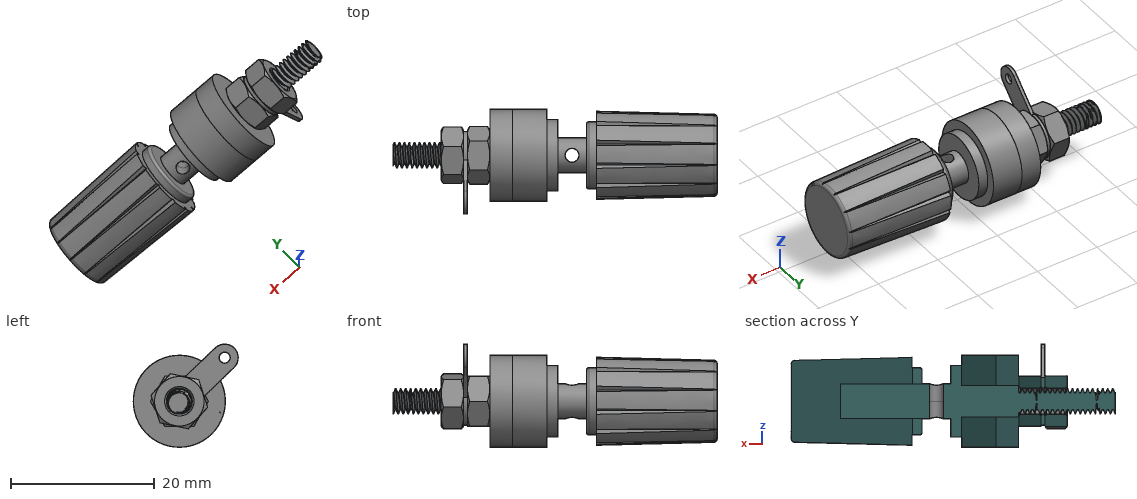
import cadquery as cq
import math


THREAD_DIA = 3.6
THREAD_ROOT_DIA = 2.38
THREAD_PITCH = 0.7
THREAD_CREST_WIDTH = 0.06
THREAD_BASE_WIDTH = 0.66
THREAD_EMBED = 0.1
THREAD_PHASE_X = 0.165
STUD_EXPOSED_LENGTH = 6.67

NUT_ACROSS_FLATS = 7.0
NUT_THICKNESS = 3.15
NUT_FACE_DIA = 6.9
NUT_CHAMFER_ANGLE = 30.0
NUT_COUNTERSINK_DIA = 4.1
OUTER_NUT_TURN = 11.9
INNER_NUT_TURN = 0.0

TAG_THICKNESS = 0.5
TAG_RING_DIA = 6.7
TAG_WIDTH = 3.8
TAG_HOLE_DIA = 1.5
TAG_HOLE_Y = -6.31
TAG_HOLE_Z = 6.07

INSULATOR_DIA = 12.85
REAR_INSULATOR_LENGTH = 3.15
FRONT_INSULATOR_LENGTH = 4.8

SHANK_DIA = 4.5
FLANGE_DIA = 10.0
FLANGE_LENGTH = 1.5
NECK_DIA = 4.9
NECK_EXPOSED_LENGTH = 3.97
NECK_DEPTH_IN_KNOB = 10.0
WIRE_HOLE_DIA = 1.9

COLLAR_DIA = 9.4
COLLAR_LENGTH = 1.4
COLLAR_FILLET = 0.4

TOTAL_LENGTH = 45.14
KNOB_START_DIA = 12.3
KNOB_END_DIA = 11.45
KNOB_FILLET = 0.5
GROOVE_COUNT = 12
GROOVE_TURN = 16.4
GROOVE_WIDTH = 0.8
GROOVE_FLOOR_RADIUS = 5.62
GROOVE_CUTTER_OVERSHOOT = 0.5

outer_nut_x = STUD_EXPOSED_LENGTH
tag_x = outer_nut_x + NUT_THICKNESS
inner_nut_x = tag_x + TAG_THICKNESS
rear_insulator_x = inner_nut_x + NUT_THICKNESS
front_insulator_x = rear_insulator_x + REAR_INSULATOR_LENGTH
flange_x = front_insulator_x + FRONT_INSULATOR_LENGTH
neck_x = flange_x + FLANGE_LENGTH
collar_x = neck_x + NECK_EXPOSED_LENGTH
knob_x = collar_x + COLLAR_LENGTH
neck_end_x = knob_x + NECK_DEPTH_IN_KNOB


def section(x):
    """Workplane across the axis at x, with local x along +Y and local y along +Z."""
    return cq.Workplane("YZ", origin=(x, 0, 0))


def rod(x_start, x_end, diameter):
    return section(x_start).circle(diameter / 2).extrude(x_end - x_start)


def ring(x_start, length, outer_dia, bore_dia):
    return section(x_start).circle(outer_dia / 2).circle(bore_dia / 2).extrude(length)


def make_thread(length):
    """Right-hand V ridge on the root cylinder, trimmed square at both ends."""
    crest_radius = THREAD_DIA / 2
    root_radius = THREAD_ROOT_DIA / 2
    base_radius = root_radius - THREAD_EMBED
    crest_half = THREAD_CREST_WIDTH / 2
    base_half = THREAD_BASE_WIDTH / 2

    lead_in = 2 * THREAD_PITCH
    helix = cq.Wire.makeHelix(THREAD_PITCH, length + 2 * lead_in, base_radius)
    ridge = (
        cq.Workplane("XZ")
        .moveTo(base_radius, -base_half)
        .lineTo(crest_radius, -crest_half)
        .lineTo(crest_radius, crest_half)
        .lineTo(base_radius, base_half)
        .close()
        .sweep(cq.Workplane(obj=helix), isFrenet=True)
        .rotate((0, 0, 0), (1, 1, 1), 120)
        .translate((THREAD_PHASE_X - lead_in, 0, 0))
    )
    root = rod(-2 * lead_in, length + 2 * lead_in, THREAD_ROOT_DIA)
    return root.union(ridge, clean=False).intersect(rod(0, length, 2 * THREAD_DIA), clean=False)


def make_post():
    post = make_thread(rear_insulator_x)
    post = post.union(rod(rear_insulator_x, flange_x, SHANK_DIA), clean=False)
    post = post.union(rod(flange_x, neck_x, FLANGE_DIA), clean=False)
    post = post.union(rod(neck_x, neck_end_x, NECK_DIA), clean=False)
    wire_hole_x = (neck_x + collar_x) / 2
    wire_hole = (
        cq.Workplane("XY", origin=(wire_hole_x, 0, 0))
        .circle(WIRE_HOLE_DIA / 2)
        .extrude(NECK_DIA, both=True)
    )
    return post.cut(wire_hole, clean=False)


def make_nut(x, turn):
    corner_radius = NUT_ACROSS_FLATS / math.sqrt(3)
    face_radius = NUT_FACE_DIA / 2
    chamfer_drop = (corner_radius - face_radius) * math.tan(math.radians(NUT_CHAMFER_ANGLE))
    hexagon = section(x).polygon(6, 2 * corner_radius).extrude(NUT_THICKNESS)
    hexagon = hexagon.rotate((0, 0, 0), (1, 0, 0), turn)
    envelope = (
        cq.Workplane("XY")
        .moveTo(x, 0)
        .lineTo(x, face_radius)
        .lineTo(x + chamfer_drop, corner_radius)
        .lineTo(x + NUT_THICKNESS - chamfer_drop, corner_radius)
        .lineTo(x + NUT_THICKNESS, face_radius)
        .lineTo(x + NUT_THICKNESS, 0)
        .close()
        .revolve(360, (0, 0, 0), (1, 0, 0))
    )
    bore = rod(x, x + NUT_THICKNESS, THREAD_DIA)
    countersink = (NUT_COUNTERSINK_DIA - THREAD_DIA) / 2
    nut = hexagon.intersect(envelope).cut(bore)
    return nut.edges(cq.selectors.RadiusNthSelector(0)).chamfer(countersink)


def make_tag():
    reach = math.hypot(TAG_HOLE_Y, TAG_HOLE_Z)
    tilt = math.degrees(math.atan2(TAG_HOLE_Z, TAG_HOLE_Y))
    tag = rod(tag_x, tag_x + TAG_THICKNESS, TAG_RING_DIA)
    arm = section(tag_x).center(reach / 2, 0).rect(reach, TAG_WIDTH).extrude(TAG_THICKNESS)
    tip = section(tag_x).center(reach, 0).circle(TAG_WIDTH / 2).extrude(TAG_THICKNESS)
    hole = section(tag_x).center(reach, 0).circle(TAG_HOLE_DIA / 2).extrude(TAG_THICKNESS)
    tag = tag.union(arm).union(tip).cut(hole)
    tag = tag.cut(rod(tag_x, tag_x + TAG_THICKNESS, THREAD_DIA))
    return tag.rotate((0, 0, 0), (1, 0, 0), tilt)


def make_collar():
    collar = ring(collar_x, COLLAR_LENGTH, COLLAR_DIA, NECK_DIA)
    return collar.faces("<X").edges(cq.selectors.RadiusNthSelector(-1)).fillet(COLLAR_FILLET)


def make_knob():
    knob = (
        cq.Workplane("XY")
        .moveTo(knob_x, 0)
        .lineTo(knob_x, KNOB_START_DIA / 2)
        .lineTo(TOTAL_LENGTH, KNOB_END_DIA / 2)
        .lineTo(TOTAL_LENGTH, 0)
        .close()
        .revolve(360, (0, 0, 0), (1, 0, 0))
    )
    knob = knob.faces(">X").edges().fillet(KNOB_FILLET)
    start_radius = KNOB_START_DIA / 2
    flank_slope = (GROOVE_WIDTH / 2) / (start_radius - GROOVE_FLOOR_RADIUS)
    cutter_radius = start_radius + GROOVE_CUTTER_OVERSHOOT
    cutter_half = flank_slope * (cutter_radius - GROOVE_FLOOR_RADIUS)
    groove = (
        section(knob_x)
        .moveTo(-GROOVE_FLOOR_RADIUS, 0)
        .lineTo(-cutter_radius, cutter_half)
        .lineTo(-cutter_radius, -cutter_half)
        .close()
        .extrude(TOTAL_LENGTH - knob_x)
    )
    for index in range(GROOVE_COUNT):
        angle = -GROOVE_TURN + index * 360 / GROOVE_COUNT
        knob = knob.cut(groove.rotate((0, 0, 0), (1, 0, 0), angle))
    return knob.cut(rod(knob_x, neck_end_x, NECK_DIA))


post = make_post()
nut_placements = [(outer_nut_x, OUTER_NUT_TURN), (inner_nut_x, INNER_NUT_TURN)]
nuts = [make_nut(x, turn) for x, turn in nut_placements]
solder_tag = make_tag()
rear_insulator = ring(rear_insulator_x, REAR_INSULATOR_LENGTH, INSULATOR_DIA, SHANK_DIA)
front_insulator = ring(front_insulator_x, FRONT_INSULATOR_LENGTH, INSULATOR_DIA, SHANK_DIA)
collar = make_collar()
knob = make_knob()

bodies = [post, *nuts, solder_tag, rear_insulator, front_insulator, collar, knob]
result = cq.Compound.makeCompound([body.solids().val() for body in bodies])